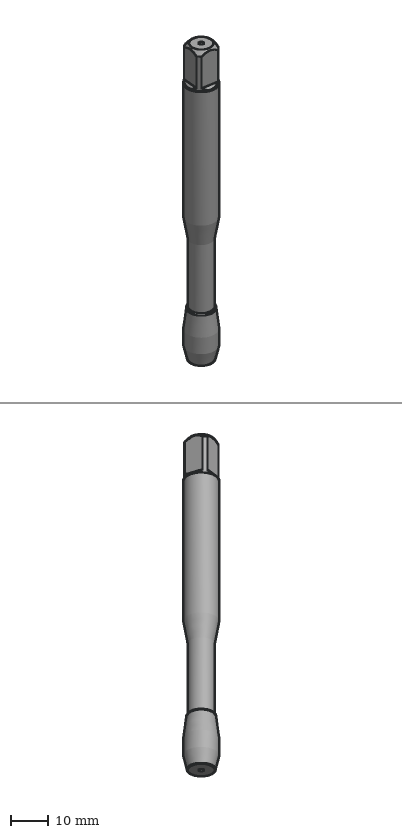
import cadquery as cq

total_length = 100.1
shank_diameter = 9.7
coolant_diameter = 1.4

square_width = 7.5
square_corner_diameter = 9.3
square_tip_diameter = 6.5
square_root_z = 87.6
shoulder_chamfer = (shank_diameter - square_corner_diameter) / 2
tip_chamfer = (square_corner_diameter - square_tip_diameter) / 2

neck_diameter = 7.3
neck_taper_top_z = 45.1
neck_taper_bottom_z = 38.2

head_top_z = 16.7
head_rim_height = 0.5
head_rim_diameter = 8.1
head_diameter = 9.7
head_land_top_z = 9.6
head_land_bottom_z = 4.4
lead_diameter = 7.7
lead_end_chamfer = 0.2


def revolve_stations(stations):
    """Turn a bored body from (diameter, z) stations listed from bottom to top."""
    bore_radius = coolant_diameter / 2
    outline = [(bore_radius, stations[0][1])]
    outline += [(diameter / 2, z) for diameter, z in stations]
    outline.append((bore_radius, stations[-1][1]))
    return cq.Workplane("XZ").polyline(outline).close().revolve(360, (0, 0), (0, 1))


def flat_cutter():
    """Material beyond one flat of the square, with a 45 degree run-out at its foot."""
    flat = square_width / 2
    outer = shank_diameter
    run_out_height = shank_diameter / 2 - flat
    run_out_top_z = square_root_z + run_out_height
    outline = [
        (flat, run_out_top_z),
        (outer, run_out_top_z + flat - outer),
        (outer, total_length),
        (flat, total_length),
    ]
    return (
        cq.Workplane("XZ")
        .polyline(outline)
        .close()
        .extrude(shank_diameter, both=True)
    )


def make_shank():
    shank = revolve_stations([
        (neck_diameter, head_top_z),
        (neck_diameter, neck_taper_bottom_z),
        (shank_diameter, neck_taper_top_z),
        (shank_diameter, square_root_z),
        (square_corner_diameter, square_root_z + shoulder_chamfer),
        (square_corner_diameter, total_length - tip_chamfer),
        (square_tip_diameter, total_length),
    ])
    for angle in (0, 90, 180, 270):
        shank = shank.cut(flat_cutter().rotate((0, 0, 0), (0, 0, 1), angle))
    return shank


def make_head():
    return revolve_stations([
        (lead_diameter - 2 * lead_end_chamfer, 0),
        (lead_diameter, lead_end_chamfer),
        (head_diameter, head_land_bottom_z),
        (head_diameter, head_land_top_z),
        (head_rim_diameter, head_top_z - head_rim_height),
        (neck_diameter, head_top_z),
    ])


shank = make_shank()
head = make_head()
result = cq.Compound.makeCompound([shank.val(), head.val()])